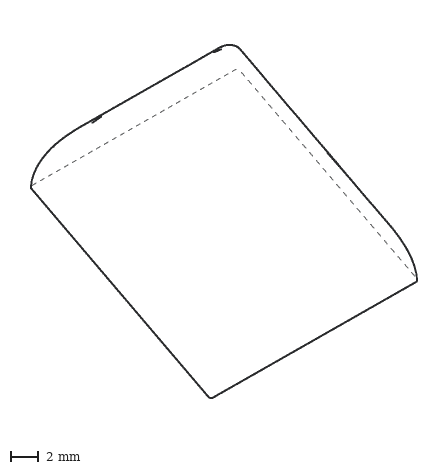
import cadquery as cq
import math

length_x = 22.85
width_y = 18.3

skirt_height = 0.8
skirt_inset = 0.05

middle_height = 4.8
middle_inset = 0.85
shoulder_height = 8.92
shoulder_inset = 3.05

bottom_corner_radius = 0.23
top_corner_radius = 1.25

dish_radius = 53.72
dish_straight_length = 4.62
dish_floor_height = 8.48

rim_fillet = 0.35
rim_search_height = dish_floor_height + 0.23

blank_height = 9.6
section_count = 6


def wall_circle():
    """Centre (inset, z) and radius of the arc through the three wall points."""
    ax, az = skirt_inset, skirt_height
    bx, bz = middle_inset - ax, middle_height - az
    cx, cz = shoulder_inset - ax, shoulder_height - az
    det = 2 * (bx * cz - bz * cx)
    b_square = bx**2 + bz**2
    c_square = cx**2 + cz**2
    ux = (cz * b_square - bz * c_square) / det
    uz = (bx * c_square - cx * b_square) / det
    return ax + ux, az + uz, math.hypot(ux, uz)


def rounded_section(z, inset, radius):
    """Sketch of a rounded rectangle at height z, set in from the footprint."""
    sketch = cq.Sketch().rect(length_x - 2 * inset, width_y - 2 * inset).vertices().fillet(radius)
    return sketch.moved(cq.Location(cq.Vector(0, 0, z)))


def make_skirt():
    bottom = rounded_section(0, 0, bottom_corner_radius)
    top = rounded_section(skirt_height, skirt_inset, bottom_corner_radius)
    return cq.Workplane().placeSketch(bottom, top).loft(ruled=True)


def make_walls():
    centre_inset, centre_z, radius = wall_circle()
    sections = []
    for i in range(section_count):
        fraction = i / (section_count - 1)
        z = skirt_height + fraction * (blank_height - skirt_height)
        inset = centre_inset - math.sqrt(radius**2 - (z - centre_z) ** 2)
        corner = bottom_corner_radius + fraction * (top_corner_radius - bottom_corner_radius)
        sections.append(rounded_section(z, inset, corner))
    return cq.Workplane().placeSketch(*sections).loft()


def make_dish():
    half_straight = dish_straight_length / 2
    tip = half_straight + dish_radius
    diagonal = dish_radius * math.sqrt(0.5)
    return (
        cq.Workplane("XZ")
        .moveTo(-tip, 0)
        .threePointArc((-half_straight - diagonal, -diagonal), (-half_straight, -dish_radius))
        .lineTo(half_straight, -dish_radius)
        .threePointArc((half_straight + diagonal, -diagonal), (tip, 0))
        .close()
        .revolve(360, (0, 0, 0), (1, 0, 0))
        .translate((0, 0, dish_floor_height + dish_radius))
    )


def round_rim(body):
    """Fillet the edge loop around the dish, leaving the dish seams alone."""
    around_rim = cq.selectors.BoxSelector(
        (-length_x, -width_y, rim_search_height), (length_x, width_y, blank_height)
    )
    return body.edges(around_rim).fillet(rim_fillet)


cap = round_rim(make_walls().cut(make_dish()))
result = make_skirt().union(cap)